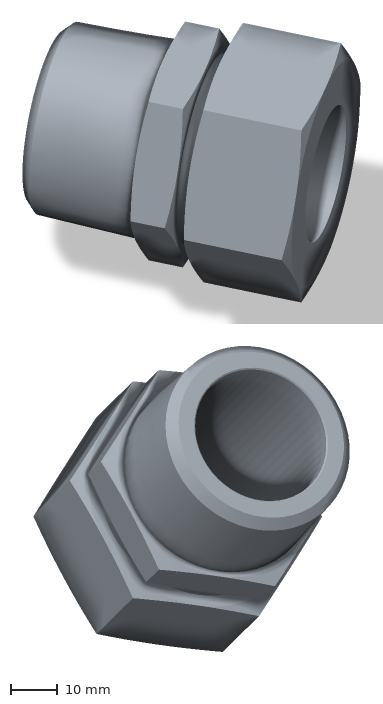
import cadquery as cq
import math

total_length = 62.0
hex_start = 25.55
hex_end = 35.1
nut_start = 38.05
neck_end = 38.6

stub_tip_radius = 18.9
stub_start_radius = 21.1
stub_end_radius = 21.8
stub_chamfer_length = 2.2
neck_radius = 20.95
spigot_radius = 22.5
spigot_chamfer_length = spigot_radius - neck_radius
bore_radius = 15.0
bore_mouth_radius = 15.3
bore_chamfer_length = bore_mouth_radius - bore_radius

body_hex_across_flats = 46.0
nut_across_flats = 50.0
hex_chamfer_angle = 15.0


def revolve_about_x(profile_points):
    """Solid of revolution about the X axis from (x, radius) points."""
    profile = cq.Workplane("XY").polyline(profile_points).close()
    return profile.revolve(360, (0, 0, 0), (1, 0, 0))


def chamfered_hexagon(across_flats, x_start, x_end):
    """Hexagonal prism along X with turned cones trimming the corners at both ends."""
    flat_radius = across_flats / 2
    corner_radius = flat_radius / math.cos(math.pi / 6)
    chamfer_length = (corner_radius - flat_radius) * math.tan(math.radians(hex_chamfer_angle))
    prism = (
        cq.Workplane("YZ", origin=(x_start, 0, 0))
        .polygon(6, 2 * corner_radius)
        .extrude(x_end - x_start)
    )
    envelope = revolve_about_x([
        (x_start, 0),
        (x_start, flat_radius),
        (x_start + chamfer_length, corner_radius),
        (x_end - chamfer_length, corner_radius),
        (x_end, flat_radius),
        (x_end, 0),
    ])
    return prism.intersect(envelope)


def make_fitting_body():
    """Tapered stub, hexagon, neck and chamfered spigot with a bore right through."""
    turned_outside = revolve_about_x([
        (0, 0),
        (0, stub_tip_radius),
        (stub_chamfer_length, stub_start_radius),
        (hex_start, stub_end_radius),
        (hex_start, neck_radius),
        (neck_end, neck_radius),
        (neck_end + spigot_chamfer_length, spigot_radius),
        (total_length, spigot_radius),
        (total_length, 0),
    ])
    bore = revolve_about_x([
        (0, 0),
        (0, bore_mouth_radius),
        (bore_chamfer_length, bore_radius),
        (total_length, bore_radius),
        (total_length, 0),
    ])
    hexagon = chamfered_hexagon(body_hex_across_flats, hex_start, hex_end)
    return turned_outside.union(hexagon).cut(bore)


def make_nut():
    """Hexagonal nut whose hole fits around the spigot of the fitting body."""
    hexagon = chamfered_hexagon(nut_across_flats, nut_start, total_length)
    hole = (
        cq.Workplane("YZ", origin=(nut_start, 0, 0))
        .circle(spigot_radius)
        .extrude(total_length - nut_start)
    )
    return hexagon.cut(hole)


fitting_body = make_fitting_body()
nut = make_nut()

result = cq.Compound.makeCompound([fitting_body.val(), nut.val()])